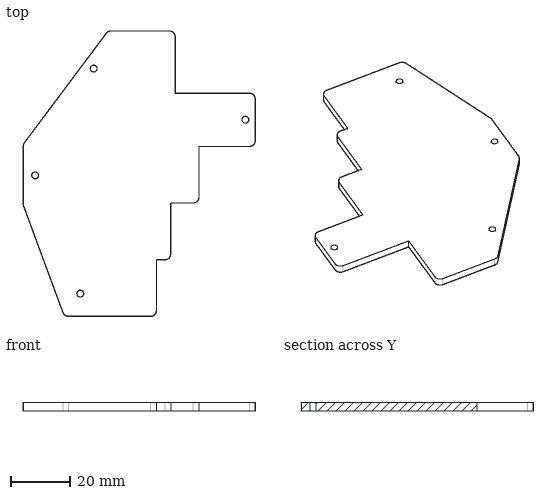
import cadquery as cq

length = 96.2
width = 78.2
thickness = 3.0

left_edge_bottom = 37.5
left_edge_top = 58.0
bottom_edge_start = 13.85
top_edge_start = 28.6

top_edge_end = 51.3
arm_top = 75.2
arm_bottom = 57.2
upper_step_x = 59.2
lower_step_x = 49.7
bottom_edge_end = 44.9
upper_step_y = 38.2
lower_step_y = 19.0

corner_radius = 2.0
hole_diameter = 2.2
hole_centers = [(23.8, 83.5), (74.8, 66.3), (4.0, 47.5), (19.2, 7.7)]

outline = [
    (0, left_edge_bottom),
    (0, left_edge_top),
    (top_edge_start, length),
    (top_edge_end, length),
    (top_edge_end, arm_top),
    (width, arm_top),
    (width, arm_bottom),
    (upper_step_x, arm_bottom),
    (upper_step_x, upper_step_y),
    (lower_step_x, upper_step_y),
    (lower_step_x, lower_step_y),
    (bottom_edge_end, lower_step_y),
    (bottom_edge_end, 0),
    (bottom_edge_start, 0),
]

inner_corners = [
    (top_edge_end, arm_top),
    (upper_step_x, arm_bottom),
    (lower_step_x, upper_step_y),
    (bottom_edge_end, lower_step_y),
]


def round_outer_corners(plate):
    """Fillet the vertical edge at every outline corner except the inner ones."""
    for corner in outline:
        if corner not in inner_corners:
            edge = cq.selectors.NearestToPointSelector((*corner, thickness / 2))
            plate = plate.edges("|Z").edges(edge).fillet(corner_radius)
    return plate


def drill_holes(plate):
    """Cut the mounting holes through the full thickness."""
    holes = cq.Workplane("XY").pushPoints(hole_centers).circle(hole_diameter / 2).extrude(thickness)
    return plate.cut(holes)


blank = cq.Workplane("XY").polyline(outline).close().extrude(thickness)
result = drill_holes(round_outer_corners(blank))